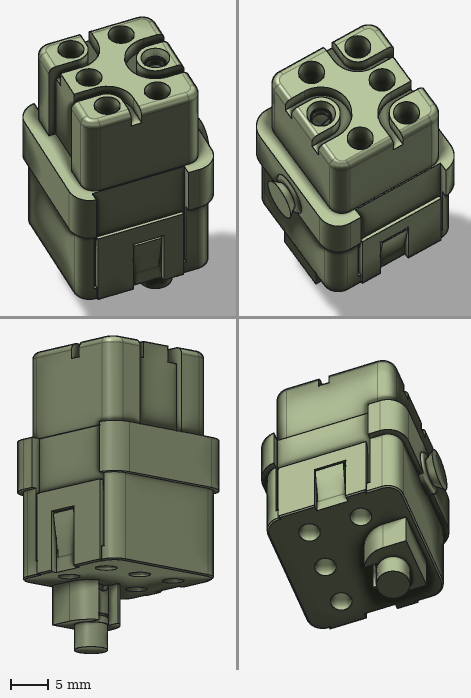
import cadquery as cq


top_z = 31.3
collar_top_z = 19.0
collar_bottom_z = 12.1
sleeve_bottom_z = -5.45
pin_bottom_z = top_z - 40.2

collar_size = 21.0
collar_corner_radius = 3.0
body_size = 19.45
body_corner_radius = collar_corner_radius - (collar_size - body_size) / 2
bottom_chamfer = 0.2
block_x = 17.85
block_y = 17.1
block_corner_radius = 2.0
block_top_fillet = 1.0

recess_floor_x = 9.13
recess_y = (-7.8, 5.75)
recess_bottom_z = 2.05
latch_outer_x = 10.0
latch_lip = 0.5
latch_gap_depth = 2.8
latch_y = (-7.35, 5.25)
latch_top_z = 11.25
window_y = (-2.15, 2.37)
window_top_z = 8.35
wedge_width = 4.0
wedge_top_z = 8.0

hole_x = 6.1
front_hole_y = -4.3
rear_hole_y = 3.1
hole_mouth_diameter = 3.5
hole_diameter = 2.9
hole_taper_depth = 3.2

channel_depth = 2.2
front_channel_radii = (2.35, 3.85)
rear_channel_radii = (2.57, 4.15)
relief_width = 2 * (hole_x - front_channel_radii[0])
relief_depth = 1.05

ground_y = 5.45
well_mouth_diameter = 3.85
well_diameter = 2.9
well_bore_diameter = 2.6
well_taper_depth = 1.0
well_seat_depth = 1.35
well_bore_depth = 2.4
well_tip_depth = 3.2
well_slit_width = 0.05
sleeve_radius = 3.95
sleeve_back_y = 8.8
sleeve_slot_width = 3.5
barrel_diameter = 4.8
barrel_bottom_z = -4.2
ferrule_diameter = 4.7
ferrule_top_z = -4.45
pin_diameter = 4.5
core_diameter = 3.2
cross_hole_diameter = 2.7
cross_hole_z = 0.3

screw_z = 14.47
screw_head_diameter = 5.7
screw_neck_diameter = 3.8
screw_head_length = 1.3
flange_diameter = 6.05
flange_outer_y = 10.85
flange_length = 1.6
flange_fillet = 0.55


def box(x_range, y_range, z_range):
    """Box between the given limits along each axis."""
    size = [high - low for low, high in (x_range, y_range, z_range)]
    return (
        cq.Workplane("XY")
        .box(*size, centered=False)
        .translate((x_range[0], y_range[0], z_range[0]))
    )


def rounded_block(size_x, size_y, radius, z_range):
    """Upright block centred on the Z axis, with rounded vertical edges."""
    half_x = size_x / 2
    half_y = size_y / 2
    return box((-half_x, half_x), (-half_y, half_y), z_range).edges("|Z").fillet(radius)


def cylinder(diameter, x, y, z_range):
    """Upright cylinder."""
    low, high = z_range
    return cq.Workplane("XY", origin=(x, y, low)).circle(diameter / 2).extrude(high - low)


def side_recess():
    """Recess on the +X side, open towards the top of the collar."""
    return box((recess_floor_x, collar_size), recess_y, (recess_bottom_z, collar_top_z))


def latch_plate():
    """Plate standing in the +X recess; a tapered gap parts its upper edge from the floor."""
    profile = [
        (recess_floor_x, 0),
        (latch_outer_x, 0),
        (latch_outer_x, latch_top_z),
        (latch_outer_x - latch_lip, latch_top_z),
        (recess_floor_x, latch_top_z - latch_gap_depth),
    ]
    start_y, end_y = latch_y
    return (
        cq.Workplane("XZ", origin=(0, end_y, 0))
        .polyline(profile)
        .close()
        .extrude(end_y - start_y)
    )


def latch_window():
    """Opening in the +X latch plate, down to the recess floor."""
    return box((recess_floor_x, collar_size), window_y, (0, window_top_z))


def latch_wedge():
    """Snap wedge inside the window, thickest at its upper end."""
    profile = [
        (recess_floor_x, recess_bottom_z),
        (latch_outer_x, wedge_top_z),
        (recess_floor_x, wedge_top_z),
    ]
    return cq.Workplane("XZ").polyline(profile).close().extrude(wedge_width / 2, both=True)


def mirrored_pair(shape):
    """The shape together with its mirror image on the -X side."""
    return shape.union(shape.mirror("YZ"))


def contact_block():
    """Upper block with a relief in its front face."""
    block = rounded_block(block_x, block_y, block_corner_radius, (collar_bottom_z, top_z))
    block = block.faces(">Z").edges().fillet(block_top_fillet)
    front_y = -block_y / 2
    relief = box(
        (-relief_width / 2, relief_width / 2),
        (front_y, front_y + relief_depth),
        (collar_top_z, top_z),
    )
    return block.cut(relief)


def half_round_end(radius, reach):
    """Channel outline: half disc about the origin with straight sides running to +Y."""
    return (
        cq.Workplane("XY")
        .moveTo(radius, reach)
        .lineTo(radius, 0)
        .threePointArc((0, -radius), (-radius, 0))
        .lineTo(-radius, reach)
        .close()
        .extrude(channel_depth)
    )


def rear_channel():
    """U-shaped channel around the ground contact, open at the back."""
    inner_radius, outer_radius = rear_channel_radii
    ring = half_round_end(outer_radius, block_y).cut(half_round_end(inner_radius, block_y))
    return ring.translate((0, ground_y, top_z - channel_depth))


def quarter_round_end(radius, reach):
    """Channel outline: quarter disc about the origin, sides running to +X and -Y."""
    diagonal = radius * 0.5 ** 0.5
    return (
        cq.Workplane("XY")
        .moveTo(reach, radius)
        .lineTo(0, radius)
        .threePointArc((-diagonal, diagonal), (-radius, 0))
        .lineTo(-radius, -reach)
        .lineTo(reach, -reach)
        .close()
        .extrude(channel_depth)
    )


def corner_channel():
    """Channel around the +X front hole, open at the side and the front."""
    inner_radius, outer_radius = front_channel_radii
    ring = quarter_round_end(outer_radius, block_y).cut(quarter_round_end(inner_radius, block_y))
    return ring.translate((hole_x, front_hole_y, top_z - channel_depth))


def contact_hole(x, y):
    """Through hole with a long tapered mouth."""
    mouth_radius = hole_mouth_diameter / 2
    radius = hole_diameter / 2
    taper = cq.Solid.makeCone(
        mouth_radius, radius, hole_taper_depth, pnt=(x, y, top_z), dir=(0, 0, -1)
    )
    return cylinder(hole_diameter, x, y, (0, top_z)).union(cq.Workplane(taper))


def ground_well():
    """Stepped, tapered well over the ground contact, its conical bottom split by a slit."""
    bore_radius = well_bore_diameter / 2
    radius = well_diameter / 2
    profile = [
        (0, 0),
        (well_mouth_diameter / 2, 0),
        (radius, -well_taper_depth),
        (radius, -well_seat_depth),
        (bore_radius, -well_seat_depth),
        (bore_radius, -well_bore_depth),
        (0, -well_tip_depth),
    ]
    well = cq.Workplane("XZ").polyline(profile).close().revolve(360, (0, 0), (0, 1))
    slit = box(
        (-well_slit_width / 2, well_slit_width / 2),
        (-bore_radius, bore_radius),
        (-well_tip_depth, -well_seat_depth),
    )
    return well.union(slit).translate((0, ground_y, top_z))


def ground_contact():
    """Slotted sleeve around the barrel and ferrule of the contact, with the pin below."""
    sleeve_z = (sleeve_bottom_z, collar_bottom_z)
    sleeve = cylinder(2 * sleeve_radius, 0, ground_y, sleeve_z)
    sleeve = sleeve.intersect(
        box((-sleeve_radius, sleeve_radius), (ground_y - sleeve_radius, ground_y), sleeve_z)
    )
    sleeve = sleeve.union(
        box((-sleeve_radius, sleeve_radius), (ground_y, sleeve_back_y), sleeve_z)
    )
    half_slot = sleeve_slot_width / 2
    slot = box(
        (-half_slot, half_slot), (ground_y - sleeve_radius, ground_y), (sleeve_bottom_z, 0)
    )
    barrel = cylinder(barrel_diameter, 0, ground_y, (barrel_bottom_z, collar_bottom_z))
    cross_hole = (
        cq.Workplane("XZ", origin=(0, ground_y, cross_hole_z))
        .circle(cross_hole_diameter / 2)
        .extrude(barrel_diameter)
    )
    core = cylinder(core_diameter, 0, ground_y, (barrel_bottom_z, collar_bottom_z))
    ferrule = cylinder(ferrule_diameter, 0, ground_y, (sleeve_bottom_z, ferrule_top_z))
    pin = cylinder(pin_diameter, 0, ground_y, (pin_bottom_z, barrel_bottom_z))
    contact = barrel.cut(cross_hole).union(core).union(ferrule).union(pin)
    return sleeve.cut(slot).union(contact)


def clamp_screw():
    """Countersunk screw head standing on a rounded flange at the back."""
    flange = (
        cq.Workplane("XZ", origin=(0, flange_outer_y, screw_z))
        .circle(flange_diameter / 2)
        .extrude(flange_length)
        .faces(">Y")
        .edges()
        .fillet(flange_fillet)
    )
    head = cq.Solid.makeCone(
        screw_neck_diameter / 2,
        screw_head_diameter / 2,
        screw_head_length,
        pnt=(0, flange_outer_y, screw_z),
        dir=(0, 1, 0),
    )
    return flange.union(cq.Workplane(head))


body = rounded_block(body_size, body_size, body_corner_radius, (0, collar_top_z))
collar = rounded_block(
    collar_size, collar_size, collar_corner_radius, (collar_bottom_z, collar_top_z)
)
housing = body.union(collar).cut(mirrored_pair(side_recess()))
housing = housing.union(mirrored_pair(latch_plate()))
housing = housing.faces("<Z").edges().chamfer(bottom_chamfer)
housing = housing.cut(mirrored_pair(latch_window()))
housing = housing.union(mirrored_pair(latch_wedge()))

result = housing.union(contact_block())
result = result.cut(mirrored_pair(corner_channel())).cut(rear_channel())
result = result.union(ground_contact()).union(clamp_screw())
result = result.cut(ground_well())
hole_positions = [
    (-hole_x, front_hole_y),
    (0, front_hole_y),
    (hole_x, front_hole_y),
    (-hole_x, rear_hole_y),
    (hole_x, rear_hole_y),
]
for x, y in hole_positions:
    result = result.cut(contact_hole(x, y))